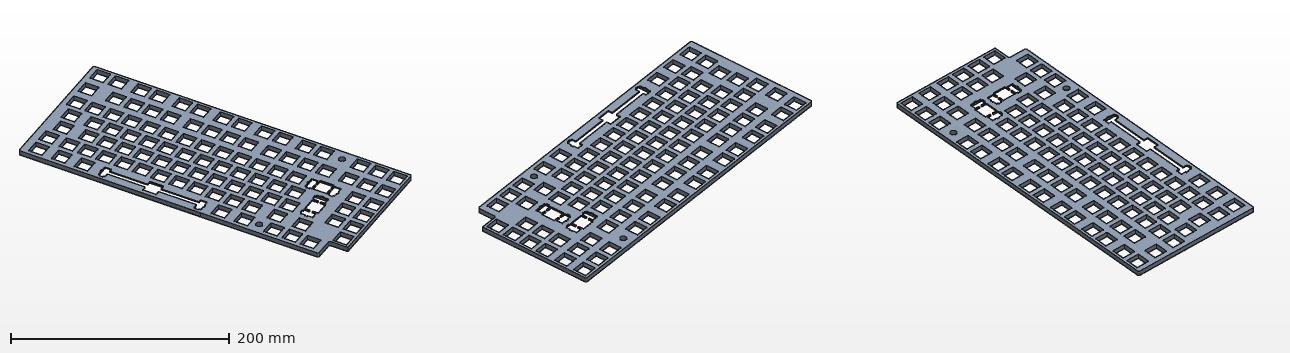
import cadquery as cq
length = 332.0
width = 141.5
thickness = 5.0
corner_radius = 1.5

step_length = 19.3
step_width = 20.5

unit = 19.05
row_gap = 3.0
switch_size = 14.0
left_margin = 5.5
top_margin = 3.0

screw_diameter = 6.4

stem_half_width = 3.375
stem_top = 5.53
stem_bottom = -6.77
clip_half_width = 1.65
clip_bottom = -7.97
lug_reach = 4.2
lug_top = 0.5
lug_bottom = -2.3
short_spacing = 11.9
short_link_half_height = 1.4
space_bar_spacing = 50.0
space_bar_link_half_height = 2.3

web_thickness = 1.2
pocket_end_margin = 0.9
pocket_half_height = 10.0

RIGHT_COLUMNS = [15.25, 16.25]
SWITCHES = [
    [0, 1, 2.25, 3.25, 4.5, 5.5, 6.75, 7.75, 9, 10, 11.25, 12.25, 14.25] + RIGHT_COLUMNS,
    [0, 1.5, 2.5, 3.5, 4.5, 5.75, 6.75, 7.75, 8.75, 10, 11, 12, 13, 14.25] + RIGHT_COLUMNS,
    [i for i in range(13)] + [13.5] + RIGHT_COLUMNS,
    [0.25] + [1.5 + i for i in range(12)] + RIGHT_COLUMNS,
    [0.375] + [1.75 + i for i in range(12)] + RIGHT_COLUMNS,
    [0.125] + [1.25 + i for i in range(11)] + [12.625, 14, 16.25],
    [0.125, 1.375, 2.625, 6.375, 10.125, 11.375, 13, 14, 15],
]
BACKSPACE = (13.5, 2)
ENTER = (13.875, 3.5)
SPACE_BAR = (6.375, 6)
SCREWS = [(13.25, 0), (12.1875, 6)]
ROWS_WITH_GAP = 2


def key_position(column, row):
    """Centre of a key on the plate; the plate is centred on the origin."""
    gaps = min(row, ROWS_WITH_GAP)
    x = -length / 2 + left_margin + switch_size / 2 + column * unit
    y = width / 2 - top_margin - switch_size / 2 - row * unit - gaps * row_gap
    return x, y


def block(x_min, x_max, y_min, y_max, height=thickness):
    """Cutter over the given rectangle, rising from the underside of the plate."""
    return (
        cq.Workplane("XY")
        .box(x_max - x_min, y_max - y_min, height, centered=False)
        .translate((x_min, y_min, 0))
    )


def plate():
    """Stepped plate with rounded corners; the lower corner of the right side stays sharp."""
    right = length / 2
    top = width / 2
    outline = [
        (-right, -top),
        (right - step_length, -top),
        (right - step_length, -top + step_width),
        (right, -top + step_width),
        (right, top),
        (-right, top),
    ]
    body = cq.Workplane("XY").polyline(outline).close().extrude(thickness)
    body = body.edges("|Z and (not >X)").fillet(corner_radius)
    return body.edges("|Z and >X").edges(">Y").fillet(corner_radius)


def stabilizer_cutter(spacing, link_half_height):
    """Pair of stabilizer slots joined by a straight link, with the pocket beneath them."""
    cutter = block(-spacing, spacing, -link_half_height, link_half_height)
    for side in (-1, 1):
        x = side * spacing
        outer = x + side * lug_reach
        cutter = cutter.union(block(x - stem_half_width, x + stem_half_width, stem_bottom, stem_top))
        cutter = cutter.union(block(x - clip_half_width, x + clip_half_width, clip_bottom, stem_bottom))
        cutter = cutter.union(block(min(x, outer), max(x, outer), lug_bottom, lug_top))
    pocket_end = spacing + lug_reach + pocket_end_margin
    pocket = block(
        -pocket_end,
        pocket_end,
        -pocket_half_height,
        pocket_half_height,
        thickness - web_thickness,
    )
    return cutter.union(pocket)


def place(cutter, column, row, angle=0):
    """Turn a cutter about its key centre and move it to the key."""
    x, y = key_position(column, row)
    return cutter.rotate((0, 0, 0), (0, 0, 1), angle).translate((x, y, 0))


def cut_switches(body):
    centres = [key_position(column, row) for row, columns in enumerate(SWITCHES) for column in columns]
    centres.append(key_position(*ENTER))
    cutters = cq.Workplane("XY").pushPoints(centres).rect(switch_size, switch_size).extrude(thickness)
    return body.cut(cutters)


def cut_stabilizers(body):
    short = stabilizer_cutter(short_spacing, short_link_half_height)
    long = stabilizer_cutter(space_bar_spacing, space_bar_link_half_height)
    body = body.cut(place(short, *BACKSPACE))
    body = body.cut(place(short, *ENTER, angle=-90))
    return body.cut(place(long, *SPACE_BAR))


def cut_screw_holes(body):
    centres = [key_position(*screw) for screw in SCREWS]
    holes = cq.Workplane("XY").pushPoints(centres).circle(screw_diameter / 2).extrude(thickness)
    return body.cut(holes)


result = cut_screw_holes(cut_stabilizers(cut_switches(plate())))